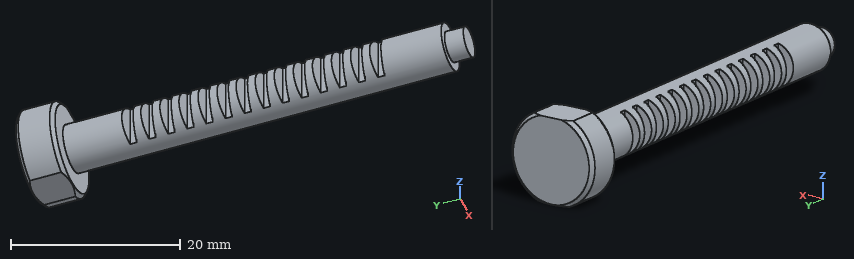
import cadquery as cq

total_length = 55.5
end_y = total_length / 2

head_diameter = 12.0
head_length = 5.0
head_chamfer = 0.5
upper_flat_z = 5.3
lower_flat_z = -5.55

shaft_diameter = 6.0
pin_diameter = 3.85
pin_length = 2.4

groove_count = 14
groove_row_span = 31.5
first_groove_offset = 13.2
groove_depth = 1.95
groove_mouth_width = 1.45
groove_floor_width = 0.85


def rod(diameter, start_y, length):
    """Cylinder around the Y axis, running from start_y toward +Y."""
    circle = cq.Workplane("XZ", origin=(0, start_y, 0)).circle(diameter / 2)
    return circle.extrude(-length)


def make_head():
    """Chamfered disc cut by two unequal horizontal flats."""
    disc = rod(head_diameter, end_y - head_length, head_length).edges("%CIRCLE").chamfer(head_chamfer)
    flat_height = upper_flat_z - lower_flat_z
    between_flats = cq.Workplane("XY").box(
        head_diameter, total_length, flat_height, centered=(True, True, False)
    )
    return disc.intersect(between_flats.translate((0, 0, lower_flat_z)))


def groove_cutter(center_y):
    """Trapezoidal bar along Z, narrowing from the shaft surface to the groove floor."""
    mouth_x = -shaft_diameter / 2
    floor_x = mouth_x + groove_depth
    outer_x = mouth_x - groove_depth
    outer_width = 2 * groove_mouth_width - groove_floor_width
    profile = cq.Workplane("XY").polyline([
        (outer_x, center_y - outer_width / 2),
        (floor_x, center_y - groove_floor_width / 2),
        (floor_x, center_y + groove_floor_width / 2),
        (outer_x, center_y + outer_width / 2),
    ]).close()
    return profile.extrude(shaft_diameter / 2, both=True)


pin = rod(pin_diameter, -end_y, pin_length)
shaft = rod(shaft_diameter, pin_length - end_y, total_length - head_length - pin_length)

groove_pitch = groove_row_span / (groove_count - 1)
for index in range(groove_count):
    shaft = shaft.cut(groove_cutter(end_y - first_groove_offset - index * groove_pitch))

result = make_head().union(shaft).union(pin)